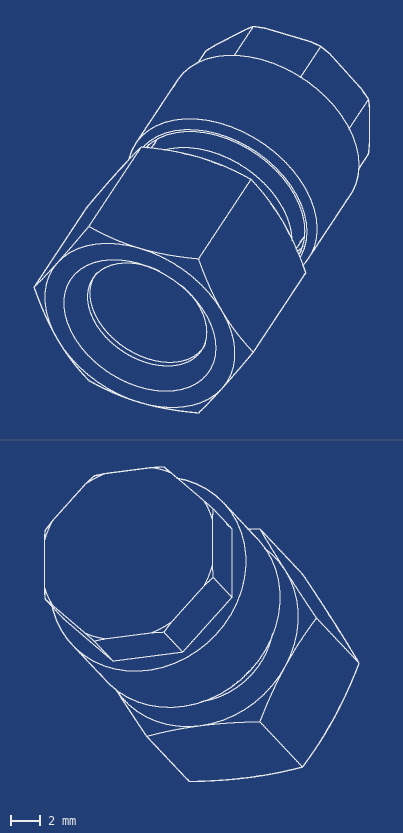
import cadquery as cq
import math

total_length = 24.7
nut_width = 14.0
nut_length = 10.0
octagon_width = 12.0
octagon_length = 4.0
octagon_end_radius = 6.22
octagon_chamfer_angle = 30.0
nut_chamfer_angle = 30.0

collar_radius = nut_width / 2
collar_front = 13.2
collar_chamfer = 0.52
collar_bore_radius = 6.32
collar_gap_depth = 1.98

sleeve_radius = 5.95
sleeve_front = 11.9
neck_radius = 5.25
neck_end = 11.16

mouth_radius = 5.6
bore_radius = 4.4
mouth_depth = mouth_radius - bore_radius
bore_depth = 1.6

octagon_start = total_length - octagon_length


def turned(profile):
    """Revolve a closed (radius, Y) profile about the Y axis."""
    return cq.Workplane("XY").polyline(profile).close().revolve(360, (0, 0, 0), (0, 1, 0))


def prism(sides, across_flats, start, length, turn):
    """Regular prism along +Y, with its first corner turned from +X by the given angle."""
    corner_diameter = across_flats / math.cos(math.pi / sides)
    blank = cq.Workplane("XZ").polygon(sides, corner_diameter).extrude(-length)
    return blank.rotate((0, 0, 0), (0, 1, 0), turn).translate((0, start, 0))


def chamfer_depth(across_flats, sides, end_radius, angle):
    """Axial length of a conical chamfer measured at the prism corners."""
    corner_radius = across_flats / 2 / math.cos(math.pi / sides)
    return (corner_radius - end_radius) * math.tan(math.radians(angle))


nut_corner_radius = nut_width / 2 / math.cos(math.pi / 6)
nut_chamfer = chamfer_depth(nut_width, 6, nut_width / 2, nut_chamfer_angle)
nut_envelope = turned([
    (0, 0),
    (nut_width / 2, 0),
    (nut_corner_radius, nut_chamfer),
    (nut_corner_radius, nut_length - nut_chamfer),
    (nut_width / 2, nut_length),
    (0, nut_length),
])
nut = prism(6, nut_width, 0, nut_length, 0).intersect(nut_envelope)

octagon_corner_radius = octagon_width / 2 / math.cos(math.pi / 8)
octagon_chamfer = chamfer_depth(octagon_width, 8, octagon_end_radius, octagon_chamfer_angle)
octagon_envelope = turned([
    (0, octagon_start),
    (octagon_corner_radius, octagon_start),
    (octagon_corner_radius, total_length - octagon_chamfer),
    (octagon_end_radius, total_length),
    (0, total_length),
])
octagon = prism(8, octagon_width, octagon_start, octagon_length, 180 / 8).intersect(octagon_envelope)

body = turned([
    (0, nut_length),
    (neck_radius, nut_length),
    (neck_radius, neck_end),
    (sleeve_radius, sleeve_front),
    (sleeve_radius, collar_front + collar_gap_depth),
    (collar_bore_radius, collar_front + collar_gap_depth),
    (collar_bore_radius, collar_front),
    (collar_radius - collar_chamfer, collar_front),
    (collar_radius, collar_front + collar_chamfer),
    (collar_radius, octagon_start),
    (0, octagon_start),
])

bore = turned([
    (0, 0),
    (mouth_radius, 0),
    (bore_radius, mouth_depth),
    (bore_radius, bore_depth),
    (0, bore_depth),
])

result = nut.union(body).union(octagon).cut(bore)